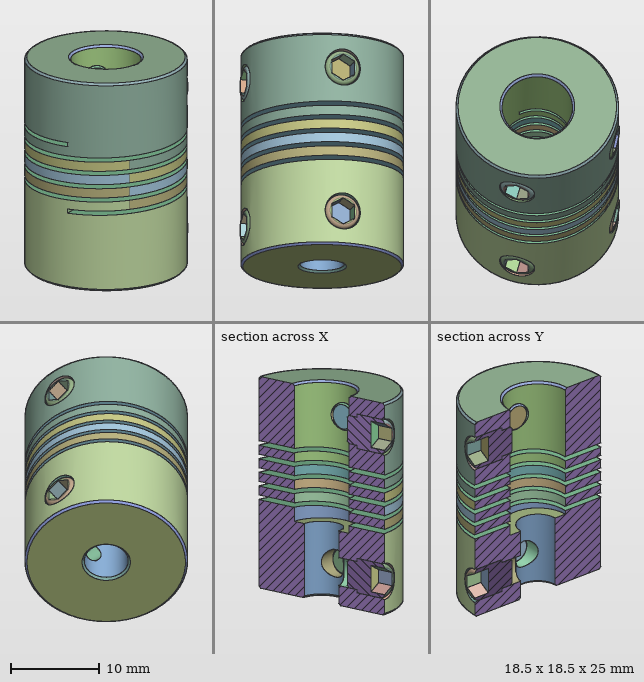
import cadquery as cq

LENGTH = 25.0
OUTER_DIAMETER = 18.5
OUTER_RADIUS = OUTER_DIAMETER / 2
UPPER_BORE_DIAMETER = 8.0
LOWER_BORE_DIAMETER = 5.0
EDGE_CHAMFER = 0.25

SLOT_PITCH = 1.6
SLOT_TURNS = 5
SLOT_WIDTH = 0.5
SLOT_BOTTOM = 9.3
SLOT_END_ANGLE = -45.0
SLOT_OVERCUT = 0.5
BORE_STEP_HEIGHT = SLOT_BOTTOM - SLOT_WIDTH

SCREW_DIAMETER = 4.0
SCREW_LENGTH = 5.5
SCREW_TIP_RADIUS = 3.75
SCREW_TIP_DIAMETER = 3.25
SCREW_TIP_LENGTH = 1.5
SCREW_TIP_CHAMFER = 0.2
SCREW_SHOULDER_RADIUS = SCREW_TIP_RADIUS + SCREW_TIP_LENGTH
SCREW_HEAD_FILLET = 0.45
SOCKET_ACROSS_FLATS = 2.68
SOCKET_DEPTH = 2.0
SOCKET_TURN = 30.0
SCREW_END_DISTANCE = 4.0
SCREW_HEIGHTS = (SCREW_END_DISTANCE, LENGTH - SCREW_END_DISTANCE)
SCREW_ANGLES = (90.0, 180.0)
HOLE_MOUTH_DIAMETER = 4.25
HOLE_MOUTH_DEPTH = 0.5


def place_radially(shape, angle, height):
    """Turn a shape built along +Z so that it points outward at an angle and height."""
    return (
        shape.rotate((0, 0, 0), (0, 1, 0), 90)
        .rotate((0, 0, 0), (0, 0, 1), angle)
        .translate((0, 0, height))
    )


def make_blank():
    """Chamfered cylinder with a wide upper bore and a narrow lower bore."""
    blank = cq.Workplane("XY").circle(OUTER_RADIUS).extrude(LENGTH)
    lower_bore = cq.Workplane("XY").circle(LOWER_BORE_DIAMETER / 2).extrude(LENGTH)
    upper_bore = (
        cq.Workplane("XY", origin=(0, 0, BORE_STEP_HEIGHT))
        .circle(UPPER_BORE_DIAMETER / 2)
        .extrude(LENGTH - BORE_STEP_HEIGHT)
    )
    return blank.cut(lower_bore).cut(upper_bore).faces("<Z or >Z").chamfer(EDGE_CHAMFER)


def make_slot_cutter():
    """Rectangle swept along a right-handed helix through the full wall."""
    inner_radius = UPPER_BORE_DIAMETER / 2 - SLOT_OVERCUT
    outer_radius = OUTER_RADIUS + SLOT_OVERCUT
    middle_radius = (inner_radius + outer_radius) / 2
    helix = cq.Wire.makeHelix(SLOT_PITCH, SLOT_PITCH * SLOT_TURNS, middle_radius)
    return (
        cq.Workplane("XZ")
        .center(middle_radius, 0)
        .rect(outer_radius - inner_radius, SLOT_WIDTH)
        .sweep(cq.Workplane(helix), isFrenet=True)
        .rotate((0, 0, 0), (0, 0, 1), SLOT_END_ANGLE)
        .translate((0, 0, SLOT_BOTTOM))
    )


def make_screw_hole_cutter():
    """Stepped radial hole from the body axis outward, with a flared mouth."""
    tip_hole_radius = SCREW_TIP_DIAMETER / 2
    hole_radius = SCREW_DIAMETER / 2
    mouth_radius = HOLE_MOUTH_DIAMETER / 2
    return (
        cq.Workplane("XZ")
        .polyline([
            (0, 0),
            (tip_hole_radius, 0),
            (tip_hole_radius, SCREW_SHOULDER_RADIUS),
            (hole_radius, SCREW_SHOULDER_RADIUS),
            (hole_radius, OUTER_RADIUS - HOLE_MOUTH_DEPTH),
            (mouth_radius, OUTER_RADIUS),
            (0, OUTER_RADIUS),
        ])
        .close()
        .revolve(360, (0, 0), (0, 1))
    )


def make_coupling():
    body = make_blank().cut(make_slot_cutter())
    for height in SCREW_HEIGHTS:
        for angle in SCREW_ANGLES:
            body = body.cut(place_radially(make_screw_hole_cutter(), angle, height))
    return body


def make_set_screw():
    """Headless screw with a narrow chamfered tip and a hexagon socket in its rounded outer end."""
    screw = (
        cq.Workplane("XY", origin=(0, 0, SCREW_TIP_RADIUS))
        .circle(SCREW_TIP_DIAMETER / 2)
        .extrude(SCREW_TIP_LENGTH)
        .faces("<Z").chamfer(SCREW_TIP_CHAMFER)
        .faces(">Z").workplane()
        .circle(SCREW_DIAMETER / 2)
        .extrude(SCREW_LENGTH - SCREW_TIP_LENGTH)
        .faces(">Z").edges().fillet(SCREW_HEAD_FILLET)
    )
    socket = (
        cq.Workplane("XY", origin=(0, 0, SCREW_TIP_RADIUS + SCREW_LENGTH))
        .polygon(6, SOCKET_ACROSS_FLATS, circumscribed=True)
        .extrude(-SOCKET_DEPTH)
        .rotate((0, 0, 0), (0, 0, 1), SOCKET_TURN)
    )
    return screw.cut(socket)


coupling = make_coupling()
set_screws = [
    place_radially(make_set_screw(), angle, height)
    for height in SCREW_HEIGHTS
    for angle in SCREW_ANGLES
]

result = cq.Compound.makeCompound([coupling.val(), *[screw.val() for screw in set_screws]])